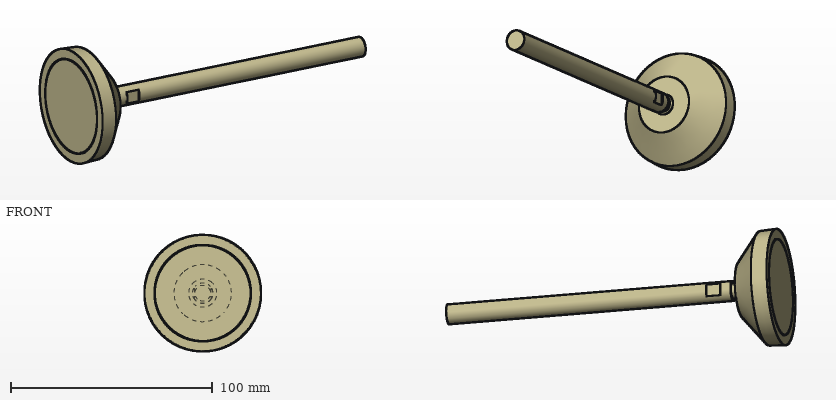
import cadquery as cq

TOTAL_LENGTH = 170.0

FOOT_DIAMETER = 58.0
RIM_TOP_DIAMETER = 57.1
CONE_TOP_DIAMETER = 28.4
RIM_HEIGHT = 8.2
FOOT_HEIGHT = 20.0

GROOVE_OUTER_DIAMETER = 48.0
GROOVE_INNER_DIAMETER = 47.5
GROOVE_DEPTH = 2.0

STEM_DIAMETER = 10.0
NECK_DIAMETER = 7.8
BALL_DIAMETER = 14.0
BALL_CENTER_Y = 15.3
SHOULDER_Y = 24.6

FLATS_START_Y = 30.0
FLATS_LENGTH = 7.1
ACROSS_FLATS = 8.0


def revolve_about_y(profile):
    """Revolve a closed (radius, y) profile about the Y axis."""
    return cq.Workplane("XY").polyline(profile).close().revolve(360, (0, 0, 0), (0, 1, 0))


def ring_groove():
    profile = [
        (GROOVE_INNER_DIAMETER / 2, 0),
        (GROOVE_OUTER_DIAMETER / 2, 0),
        (GROOVE_OUTER_DIAMETER / 2, GROOVE_DEPTH),
        (GROOVE_INNER_DIAMETER / 2, GROOVE_DEPTH),
    ]
    return revolve_about_y(profile)


def ball():
    """Ball on the end of the stem, also the shape of its socket in the foot."""
    return cq.Workplane("XY").sphere(BALL_DIAMETER / 2).translate((0, BALL_CENTER_Y, 0))


def make_foot():
    """Conical foot with a slightly tapered rim, a ball socket and a grooved underside."""
    profile = [
        (0, 0),
        (FOOT_DIAMETER / 2, 0),
        (RIM_TOP_DIAMETER / 2, RIM_HEIGHT),
        (CONE_TOP_DIAMETER / 2, FOOT_HEIGHT),
        (0, FOOT_HEIGHT),
    ]
    return revolve_about_y(profile).cut(ring_groove()).cut(ball())


def wrench_flats():
    """Material removed on the -X and +X sides of the stem."""
    band = cq.Workplane("XY").box(STEM_DIAMETER * 2, FLATS_LENGTH, STEM_DIAMETER * 2)
    core = cq.Workplane("XY").box(ACROSS_FLATS, FLATS_LENGTH, STEM_DIAMETER * 2)
    return band.cut(core).translate((0, FLATS_START_Y + FLATS_LENGTH / 2, 0))


def make_stem():
    """Round stem with a narrow neck that ends in a ball held in the foot."""
    profile = [
        (0, BALL_CENTER_Y),
        (NECK_DIAMETER / 2, BALL_CENTER_Y),
        (NECK_DIAMETER / 2, SHOULDER_Y),
        (STEM_DIAMETER / 2, SHOULDER_Y),
        (STEM_DIAMETER / 2, TOTAL_LENGTH),
        (0, TOTAL_LENGTH),
    ]
    return revolve_about_y(profile).cut(wrench_flats()).union(ball())


foot = make_foot()
stem = make_stem()

result = cq.Compound.makeCompound([foot.solids().val(), stem.solids().val()])